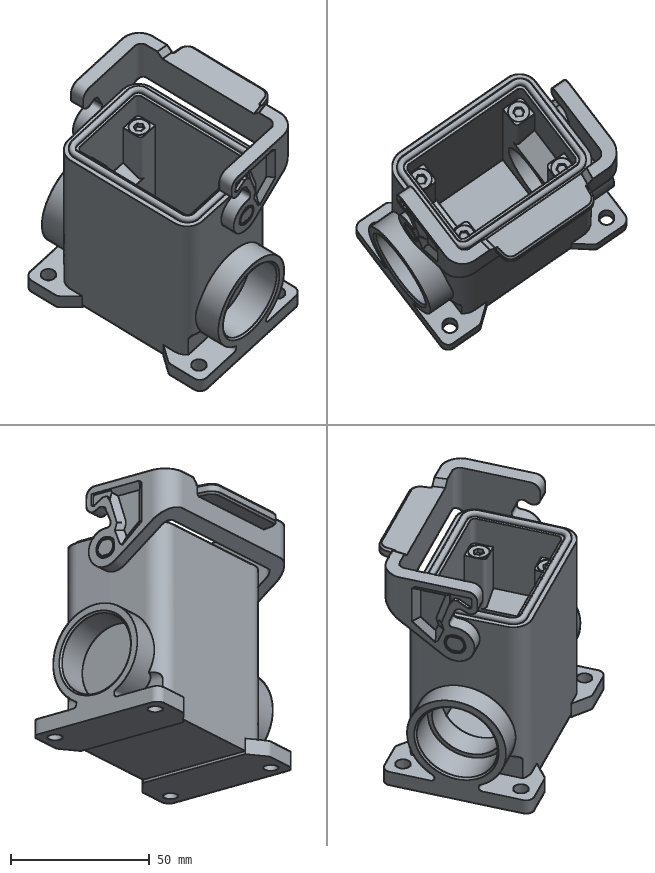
import cadquery as cq
import math

BODY_HALF_X = 31.4
BODY_HALF_Y = 23.0
BODY_FRONT_DRAFT = 0.8
BODY_CORNER_R = 7.2
BODY_BOTTOM_Z = 1.2
BODY_TOP_Z = 75.3

SEAL_TOP_Z = 77.1
SEAL_OUTER_INSET = 1.9
SEAL_WIDTH = 2.5
SEAL_ROUND_R = 1.2

CAVITY_HALF_X = 25.9
CAVITY_HALF_Y = 17.4
CAVITY_CORNER_R = 1.85
WELL_HALF_X = 17.65
FLOOR_Z = 5.5
SHOULDER_LOW_Z = 41.6
SHOULDER_ANGLE = 25

POST_TOP_Z = 64.1
POST_CORNER_R = 1.5
POST_SIZE = CAVITY_HALF_X - WELL_HALF_X
SCREW_HEAD_R = 3.9
SCREW_RECESS = 0.3
SOCKET_DIAMETER = 4.0
SOCKET_DEPTH = 1.85

TOTAL_WIDTH = 82.0
FLANGE_HALF_X = TOTAL_WIDTH / 2
FLANGE_HALF_Y = 28.6
FLANGE_HEIGHT = 6.1
FLANGE_CORNER_R = 3.1
FLANGE_INNER_X = 18.85
FLANGE_SHOULDER_X = 25.9
FLANGE_SHOULDER_R = 2.3
HOLE_X = 34.9
HOLE_Y = 22.5
HOLE_DIAMETER = 5.5

RELIEF_X = 28.8
RELIEF_TOP_Z = 16.8
RELIEF_R = 2.8

BOSS_R = 18.9
BOSS_Z = 25.4
BOSS_FOOT_R = 1.5
ENTRY_R = 15.4
ENTRY_CHAMFER = 0.7
ENTRY_DEPTH = 12.9
PASSAGE_R = 13.9

LEVER_TOP_Z = 92.4
LEVER_HALF_X = 37.3
LEVER_INNER_X = 31.6
LEVER_BACK_Y = 30.7
LEVER_BACK_INNER_Y = 25.9
LEVER_BACK_LOW_Z = 78.2
LEVER_OUTER_R = 7.9
LEVER_INNER_R = 3.0
PIVOT_Y = 1.85
PIVOT_Z = 67.4
PIVOT_R = 7.5
HOOK_END_Y = -6.7
NECK_Y = 4.1
NECK_LOW_Z = 76.1
NECK_HIGH_Z = 77.25

HOOK_THROAT_START = (1.85, 82.4)
HOOK_THROAT_MIDDLE = (0.3, 83.6)
HOOK_THROAT_END = (-1.7, 83.2)
HOOK_TIP_START = (-2.7, 82.7)
HOOK_TIP_MIDDLE = (-5.45, 83.0)
HOOK_TIP_END_Z = 85.3
HOOK_TOP_START_Z = 88.7
HOOK_TOP_MIDDLE = (-5.6, 91.3)
HOOK_TOP_END_Y = -3.05

PIN_R = 3.4
PIN_GROOVE_R = 4.1
PIN_GROOVE_DEPTH = 0.9
PIN_FLAT = 3.0
PIN_EMBED = 0.9

POCKET_DEPTH = 2.0
POCKET_TAPER = 52
HOOK_POCKET_DEPTH = 1.4
HOOK_POCKET_R = 0.6

MAIN_POCKET_OUTLINE = [
    (17.1, 89.6),
    (18.3, 88.4),
    (18.3, 73.6),
    (9.4, 66.4),
    (8.3, 67.4),
    (6.1, 72.9),
    (7.0, 75.8),
    (2.5, 89.6),
]
HOOK_POCKET_OUTLINE = [
    (4.2, 89.6),
    (-4.5, 89.6),
    (-4.5, 85.3),
    (-3.4, 84.7),
    (0.7, 87.1),
    (2.5, 87.1),
    (3.9, 85),
]

TAB_END_Y = 37.9
TAB_BOTTOM_Z = 85.9
TAB_TOP_Z = 90.1
TAB_ROOT_HALF_X = 21.25
TAB_TIP_HALF_X = 19.6
TAB_CORNER_R = 4.2
TAB_EDGE = 0.8
DIP_SIDE_ANGLE = 45


def rounded_block(half_x, half_y, corner_r, z_low, z_high):
    block = cq.Workplane("XY").workplane(offset=z_low).rect(2 * half_x, 2 * half_y)
    return block.extrude(z_high - z_low).edges("|Z").fillet(corner_r)


def both_sides(shape):
    """Join a shape with its mirror image on the other X side."""
    return shape.union(shape.mirror("YZ"))


def side_profile(x_start):
    """Workplane facing +X, whose local coordinates are (Y, Z)."""
    return cq.Workplane("YZ", origin=(x_start, 0, 0))


def make_body():
    front_half_x = BODY_HALF_X - BODY_HALF_Y * math.tan(math.radians(BODY_FRONT_DRAFT))
    body = (
        cq.Workplane("XY", origin=(0, 0, BODY_BOTTOM_Z))
        .moveTo(-front_half_x, -BODY_HALF_Y)
        .lineTo(front_half_x, -BODY_HALF_Y)
        .lineTo(BODY_HALF_X, 0)
        .lineTo(BODY_HALF_X, BODY_HALF_Y)
        .lineTo(-BODY_HALF_X, BODY_HALF_Y)
        .lineTo(-BODY_HALF_X, 0)
        .close()
        .extrude(BODY_TOP_Z - BODY_BOTTOM_Z)
        .edges("|Z and (>Y or <Y)")
        .fillet(BODY_CORNER_R)
    )
    relief = cq.Workplane("XY").box(
        BODY_HALF_X, 2 * BODY_HALF_Y, RELIEF_TOP_Z, centered=(False, True, False)
    )
    relief = relief.translate((RELIEF_X, 0, 0)).edges("|Y and >Z and <X").fillet(RELIEF_R)
    return body.cut(both_sides(relief))


def make_seal():
    """Rounded bead standing on the rim of the housing."""
    inner_inset = SEAL_OUTER_INSET + SEAL_WIDTH
    outer, inner = [
        rounded_block(
            BODY_HALF_X - inset, BODY_HALF_Y - inset, BODY_CORNER_R - inset, BODY_TOP_Z, SEAL_TOP_Z
        )
        for inset in (SEAL_OUTER_INSET, inner_inset)
    ]
    return outer.cut(inner).faces(">Z").edges().fillet(SEAL_ROUND_R)


def make_cavity():
    """Inside space of the housing, leaving the four corner posts standing."""
    chamber = rounded_block(CAVITY_HALF_X, CAVITY_HALF_Y, CAVITY_CORNER_R, FLOOR_Z, SEAL_TOP_Z)
    shoulder_rise = POST_SIZE * math.tan(math.radians(SHOULDER_ANGLE))
    shoulder = (
        cq.Workplane("XZ")
        .moveTo(WELL_HALF_X, FLOOR_Z)
        .lineTo(CAVITY_HALF_X, FLOOR_Z)
        .lineTo(CAVITY_HALF_X, SHOULDER_LOW_Z + shoulder_rise)
        .lineTo(WELL_HALF_X, SHOULDER_LOW_Z)
        .close()
        .extrude(CAVITY_HALF_Y, both=True)
    )
    post_center_x = CAVITY_HALF_X - POST_SIZE / 2
    post_center_y = CAVITY_HALF_Y - POST_SIZE / 2
    post = (
        cq.Workplane("XY")
        .box(POST_SIZE, POST_SIZE, POST_TOP_Z - FLOOR_Z, centered=(True, True, False))
        .edges("|Z and <X and <Y")
        .fillet(POST_CORNER_R)
        .faces(">Z")
        .workplane()
        .hole(2 * SCREW_HEAD_R, SCREW_RECESS)
    )
    socket = (
        cq.Workplane("XY", origin=(0, 0, POST_TOP_Z - FLOOR_Z - SCREW_RECESS - SOCKET_DEPTH))
        .transformed(rotate=(0, 0, 90))
        .polygon(6, SOCKET_DIAMETER)
        .extrude(SOCKET_DEPTH)
    )
    post = post.cut(socket).translate((post_center_x, post_center_y, FLOOR_Z))
    post_pair = post.union(post.mirror("XZ"))
    return chamber.cut(both_sides(shoulder)).cut(both_sides(post_pair))


def make_flange():
    """Mounting flange on the +X side with two screw holes."""
    flange = (
        cq.Workplane("XY")
        .moveTo(FLANGE_INNER_X, -BODY_HALF_Y)
        .lineTo(FLANGE_SHOULDER_X, -FLANGE_HALF_Y)
        .lineTo(FLANGE_HALF_X, -FLANGE_HALF_Y)
        .lineTo(FLANGE_HALF_X, FLANGE_HALF_Y)
        .lineTo(FLANGE_SHOULDER_X, FLANGE_HALF_Y)
        .lineTo(FLANGE_INNER_X, BODY_HALF_Y)
        .close()
        .extrude(FLANGE_HEIGHT)
    )
    flange = flange.edges("|Z and >X").fillet(FLANGE_CORNER_R)
    flange = flange.edges("|Z and (>Y or <Y)").edges("<X").fillet(FLANGE_SHOULDER_R)
    holes = (
        cq.Workplane("XY")
        .pushPoints([(HOLE_X, HOLE_Y), (HOLE_X, -HOLE_Y)])
        .circle(HOLE_DIAMETER / 2)
        .extrude(FLANGE_HEIGHT)
    )
    return flange.cut(holes)


def make_boss():
    """Solid cable entry boss on the +X side, with its foot down to the flange."""
    inner_x = CAVITY_HALF_X
    length = FLANGE_HALF_X - inner_x
    boss = side_profile(inner_x).center(0, BOSS_Z).circle(BOSS_R).extrude(length)
    notch_z = FLANGE_HEIGHT + BOSS_FOOT_R
    notch_y = math.sqrt((BOSS_R + BOSS_FOOT_R) ** 2 - (BOSS_Z - notch_z) ** 2)
    tangent_y = notch_y * BOSS_R / (BOSS_R + BOSS_FOOT_R)
    tangent_z = BOSS_Z - (BOSS_Z - notch_z) * BOSS_R / (BOSS_R + BOSS_FOOT_R)
    foot = (
        side_profile(inner_x)
        .moveTo(-notch_y, FLANGE_HEIGHT / 2)
        .lineTo(notch_y, FLANGE_HEIGHT / 2)
        .lineTo(notch_y, notch_z)
        .lineTo(tangent_y, tangent_z)
        .lineTo(-tangent_y, tangent_z)
        .lineTo(-notch_y, notch_z)
        .close()
        .extrude(length)
    )
    notches = (
        side_profile(inner_x)
        .pushPoints([(notch_y, notch_z), (-notch_y, notch_z)])
        .circle(BOSS_FOOT_R)
        .extrude(length)
    )
    return boss.union(foot.cut(notches))


def make_entry():
    """Chamfered blind bore in the +X boss."""
    entry = side_profile(FLANGE_HALF_X).center(0, BOSS_Z).circle(ENTRY_R).extrude(-ENTRY_DEPTH)
    mouth = cq.Solid.makeCone(
        ENTRY_R + ENTRY_CHAMFER,
        ENTRY_R,
        ENTRY_CHAMFER,
        pnt=cq.Vector(FLANGE_HALF_X, 0, BOSS_Z),
        dir=cq.Vector(-1, 0, 0),
    )
    return entry.union(cq.Workplane(mouth))


def make_passage():
    """Opening from the -X entry bore into the lower well."""
    length = FLANGE_HALF_X - WELL_HALF_X
    return side_profile(-FLANGE_HALF_X).center(0, BOSS_Z).circle(PASSAGE_R).extrude(length)


def lever_side_shape():
    """Side outline of the lever, extruded across its full width."""
    pivot_top_z = PIVOT_Z + PIVOT_R
    neck_start_y = NECK_Y - (NECK_LOW_Z - pivot_top_z)
    reach_y = LEVER_BACK_Y - PIVOT_Y
    reach_z = LEVER_BACK_LOW_Z - PIVOT_Z
    reach = math.hypot(reach_y, reach_z)
    tangent_angle = math.atan2(reach_z, reach_y) - math.acos(PIVOT_R / reach)
    tangent = (
        PIVOT_Y + PIVOT_R * math.cos(tangent_angle),
        PIVOT_Z + PIVOT_R * math.sin(tangent_angle),
    )
    far_angle = (tangent_angle - 1.5 * math.pi) / 2
    far_point = (
        PIVOT_Y + PIVOT_R * math.cos(far_angle),
        PIVOT_Z + PIVOT_R * math.sin(far_angle),
    )
    return (
        side_profile(-LEVER_HALF_X)
        .moveTo(LEVER_BACK_Y, LEVER_TOP_Z)
        .lineTo(LEVER_BACK_Y, LEVER_BACK_LOW_Z)
        .lineTo(*tangent)
        .threePointArc(far_point, (PIVOT_Y, pivot_top_z))
        .lineTo(neck_start_y, pivot_top_z)
        .radiusArc((NECK_Y, NECK_LOW_Z), -(NECK_LOW_Z - pivot_top_z))
        .lineTo(NECK_Y, NECK_HIGH_Z)
        .lineTo(*HOOK_THROAT_START)
        .threePointArc(HOOK_THROAT_MIDDLE, HOOK_THROAT_END)
        .lineTo(*HOOK_TIP_START)
        .threePointArc(HOOK_TIP_MIDDLE, (HOOK_END_Y, HOOK_TIP_END_Z))
        .lineTo(HOOK_END_Y, HOOK_TOP_START_Z)
        .threePointArc(HOOK_TOP_MIDDLE, (HOOK_TOP_END_Y, LEVER_TOP_Z))
        .close()
        .extrude(2 * LEVER_HALF_X)
    )


def lever_plan_shape():
    """U-shaped plan of the lever: two arms joined by the back wall."""
    front_y = HOOK_END_Y
    height = LEVER_TOP_Z
    outer = (
        cq.Workplane("XY")
        .box(2 * LEVER_HALF_X, LEVER_BACK_Y - front_y, height, centered=(True, False, False))
        .edges("|Z and >Y")
        .fillet(LEVER_OUTER_R)
    )
    inner = (
        cq.Workplane("XY")
        .box(2 * LEVER_INNER_X, LEVER_BACK_INNER_Y - front_y, height, centered=(True, False, False))
        .edges("|Z and >Y")
        .fillet(LEVER_INNER_R)
    )
    return outer.cut(inner).translate((0, front_y, 0))


def make_arm_pockets():
    """Sloped pocket and shallow hook pocket in the outer face of the +X arm."""
    main_pocket = (
        side_profile(LEVER_HALF_X)
        .polyline(MAIN_POCKET_OUTLINE)
        .close()
        .extrude(-POCKET_DEPTH, taper=POCKET_TAPER)
    )
    hook_pocket = (
        side_profile(LEVER_HALF_X)
        .polyline(HOOK_POCKET_OUTLINE)
        .close()
        .extrude(-HOOK_POCKET_DEPTH)
    )
    hook_pocket = hook_pocket.edges("|X").edges("<Y").fillet(HOOK_POCKET_R)
    return main_pocket.union(hook_pocket)


def make_pin_groove():
    """Ring groove around the flatted pivot pin in the +X arm."""
    face = side_profile(LEVER_HALF_X).center(PIVOT_Y, PIVOT_Z)
    groove = face.circle(PIN_GROOVE_R).extrude(-PIN_GROOVE_DEPTH)
    pin_head = face.circle(PIN_R).extrude(-PIN_GROOVE_DEPTH)
    flats = face.rect(2 * PIN_R, 2 * PIN_FLAT).extrude(-PIN_GROOVE_DEPTH)
    return groove.cut(pin_head.intersect(flats))


def tab_plan(z):
    """Tapering plan of the thumb tab, as a closed wire at height z."""
    return (
        cq.Workplane("XY", origin=(0, 0, z))
        .moveTo(-TAB_ROOT_HALF_X, LEVER_BACK_INNER_Y)
        .lineTo(TAB_ROOT_HALF_X, LEVER_BACK_INNER_Y)
        .lineTo(TAB_TIP_HALF_X, TAB_END_Y)
        .lineTo(-TAB_TIP_HALF_X, TAB_END_Y)
        .close()
    )


def make_tab():
    tab = tab_plan(TAB_BOTTOM_Z).extrude(TAB_TOP_Z - TAB_BOTTOM_Z)
    tab = tab.edges("|Z and >Y").fillet(TAB_CORNER_R)
    return tab.faces("<Z or >Z").edges("not <Y").chamfer(TAB_EDGE)


def make_lever():
    lever = lever_side_shape().intersect(lever_plan_shape())
    dip = tab_plan(TAB_TOP_Z).extrude(LEVER_TOP_Z - TAB_TOP_Z, taper=-DIP_SIDE_ANGLE)
    lever = lever.cut(dip).union(make_tab())
    return lever.cut(both_sides(make_arm_pockets())).cut(both_sides(make_pin_groove()))


def make_pivot_pin():
    """Pin that bridges the gap between the housing wall and the +X arm."""
    start_x = BODY_HALF_X - PIN_EMBED
    pin = side_profile(start_x).center(PIVOT_Y, PIVOT_Z).circle(PIN_R)
    return pin.extrude(LEVER_INNER_X + PIN_EMBED - start_x)


housing = make_body().union(make_seal())
housing = housing.union(both_sides(make_flange())).union(both_sides(make_boss()))
housing = housing.cut(make_cavity()).cut(both_sides(make_entry())).cut(make_passage())
result = housing.union(both_sides(make_pivot_pin())).union(make_lever())